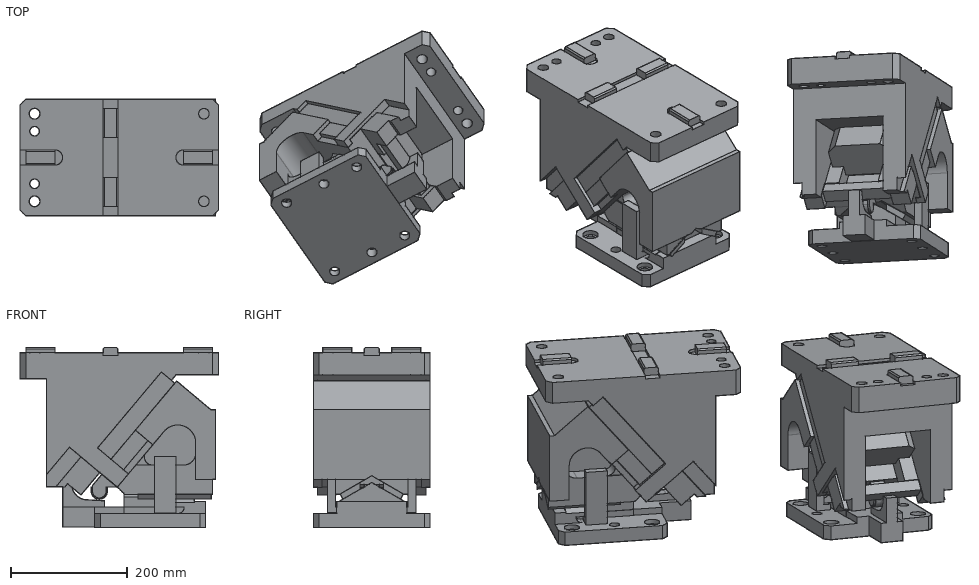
import cadquery as cq
import math


INCLINE = math.radians(50)
BED_X = -22.1
BED_Z = 136.6
BED_THICKNESS = 30
RAIL_V = 58
UNDERCUT_V = 69


def incline(u, v):
    """Point (X, Z) at distances u and v in the bed frame."""
    x = BED_X + u * math.cos(INCLINE) + v * math.sin(INCLINE)
    z = BED_Z + u * math.sin(INCLINE) - v * math.cos(INCLINE)
    return (x, z)


def incline_at_z(z, v):
    """Point at height z on the line of constant v."""
    u = (z - BED_Z + v * math.cos(INCLINE)) / math.sin(INCLINE)
    return incline(u, v)


def incline_at_x(x, v):
    """Point at position x on the line of constant v."""
    u = (x - BED_X - v * math.sin(INCLINE)) / math.cos(INCLINE)
    return incline(u, v)


def inclined_box(u_range, v_range):
    """Corner points of a rectangle lying along the incline."""
    (u0, u1), (v0, v1) = u_range, v_range
    return [incline(u0, v0), incline(u1, v0), incline(u1, v1), incline(u0, v1)]


def rectangle(x0, x1, z0, z1):
    return [(x0, z0), (x1, z0), (x1, z1), (x0, z1)]


def centred_prism(points, half_width):
    """Side profile (X, Z) swept over -half_width < Y < half_width."""
    return cq.Workplane("XZ").polyline(points).close().extrude(half_width, both=True)


def side_prisms(points, inner, outer):
    """Side profile swept over inner < |Y| < outer, on both sides."""
    near = cq.Workplane("XZ").workplane(offset=inner).polyline(points).close().extrude(outer - inner)
    return near.union(near.mirror("XZ"))


def cross_section_prism(points, x0, x1):
    """Cross-section (Y, Z) swept from x0 to x1."""
    return cq.Workplane("YZ").workplane(offset=x0).polyline(points).close().extrude(x1 - x0)


def plate(x0, x1, z0, z1):
    """Full-width plate with chamfered vertical corners."""
    blank = centred_prism(rectangle(x0, x1, z0, z1), HALF_WIDTH)
    return blank.edges("|Z").chamfer(CORNER_CHAMFER)


HALF_WIDTH = 100
CORNER_CHAMFER = 10
PASS = 5

HOLDER_TOP = 300
HOLDER_X = (-155, 185)
PLATE_LEFT_BOTTOM = 255
PLATE_RIGHT_BOTTOM = 262
LEG_LEFT = -110
LEG_BOTTOM = 70
WINDOW_HALF = 60
WINDOW_TOP = 200
SHOULDER_V = 22.5

BED_U = (-80, 170)
BED_HALF = 93
BED_CENTRE_STEP_U = -49
BED_CENTRE_END_U = -68
BED_CENTRE_V = (2, 25)
BED_CENTRE_HALF = 61

POCKET_HALF = 35
POCKET_TOP_U = -6
POCKET_LIP = 19
POCKET_UNDERCUT_U = 6

FOOT_U = (-30, 0)
FOOT_INNER = 94
LIP_INNER = 85
GROOVE_V = (-37.7, -12)

NOSE_HALF = 54.5
NOSE_HEIGHT = 46
NOSE_FLAT_HALF = 40
NOSE_CHAMFER_HEIGHT = 13
NOSE_LENGTH = 96

KEY_DEPTH = 5
KEY_HEIGHT = 9
KEY_LENGTH = 50
KEY_CHAMFER = 2.5
CROSS_KEY_WIDTH = 25
CROSS_KEY_Y = 59
END_KEY_WIDTH = 26
END_KEY_X = (-120, 150)
END_KEYWAY_CENTRES = (-95, 125)

MOUNT_HOLE = 18
MOUNT_HOLE_X = (-130, 160)
MOUNT_HOLE_Y = 75
DOWEL_HOLE = 16
DOWEL_HOLE_Y = 45


def holder_block():
    """Top plate and the two legs, down to the root of the bed."""
    top = plate(*HOLDER_X, PLATE_LEFT_BOTTOM, HOLDER_TOP)
    thin_end = rectangle(LEG_LEFT, HOLDER_X[1] + PASS, PLATE_LEFT_BOTTOM - PASS, PLATE_RIGHT_BOTTOM)
    shoulder = incline_at_z(PLATE_RIGHT_BOTTOM, SHOULDER_V)
    wedge = [
        (LEG_LEFT, HOLDER_TOP),
        (shoulder[0], HOLDER_TOP),
        shoulder,
        incline(BED_U[1], SHOULDER_V),
        incline(BED_U[1], 0),
        incline_at_z(LEG_BOTTOM, 0),
        (LEG_LEFT, LEG_BOTTOM),
    ]
    window = [
        (LEG_LEFT - PASS, WINDOW_TOP),
        incline_at_z(WINDOW_TOP, 0),
        incline_at_z(LEG_BOTTOM - PASS, 0),
        (LEG_LEFT - PASS, LEG_BOTTOM - PASS),
    ]
    block = top.cut(centred_prism(thin_end, HALF_WIDTH + PASS))
    block = block.union(centred_prism(wedge, HALF_WIDTH))
    bed_space = inclined_box((0, BED_U[1]), (0, BED_THICKNESS))
    block = block.cut(centred_prism(bed_space, HALF_WIDTH + PASS))
    return block.cut(centred_prism(window, WINDOW_HALF))


def leg_grooves():
    """Grooves and thinned strips on the outer leg faces below the gibs."""
    low_end = 2 * BED_U[0]
    grooves = side_prisms(inclined_box((low_end, FOOT_U[0]), GROOVE_V), LIP_INNER, HALF_WIDTH + PASS)
    strips = side_prisms(inclined_box((low_end, FOOT_U[0]), (GROOVE_V[1], PASS)),
                         BED_HALF, HALF_WIDTH + PASS)
    return grooves.union(strips)


def bed():
    """Inclined slab between the legs, with a shortened middle and a stepped pocket."""
    slab = centred_prism(inclined_box(BED_U, (0, BED_THICKNESS)), BED_HALF)
    middle = inclined_box((BED_U[0] - PASS, BED_CENTRE_STEP_U), (-PASS, BED_THICKNESS + PASS))
    bar = inclined_box((BED_CENTRE_END_U, BED_CENTRE_STEP_U), BED_CENTRE_V)
    pocket = inclined_box((BED_CENTRE_STEP_U, POCKET_TOP_U), (0, BED_THICKNESS))
    undercut = inclined_box((POCKET_TOP_U, POCKET_UNDERCUT_U), (POCKET_LIP, BED_THICKNESS))
    slab = slab.cut(centred_prism(middle, BED_CENTRE_HALF)).union(centred_prism(bar, BED_CENTRE_HALF))
    return slab.cut(centred_prism(pocket, POCKET_HALF)).cut(centred_prism(undercut, POCKET_HALF))


def nose():
    """Block with bevelled corners standing on the bed under the window ceiling."""
    outline = [
        (-NOSE_HALF, 0),
        (NOSE_HALF, 0),
        (NOSE_HALF, NOSE_HEIGHT - NOSE_CHAMFER_HEIGHT),
        (NOSE_FLAT_HALF, NOSE_HEIGHT),
        (-NOSE_FLAT_HALF, NOSE_HEIGHT),
        (-NOSE_HALF, NOSE_HEIGHT - NOSE_CHAMFER_HEIGHT),
    ]
    foot_x, foot_z = incline(POCKET_TOP_U, 0)
    up_incline = (math.cos(INCLINE), 0, math.sin(INCLINE))
    section = cq.Plane(origin=(foot_x, 0, foot_z), xDir=(0, 1, 0), normal=up_incline)
    return cq.Workplane(section).polyline(outline).close().extrude(NOSE_LENGTH)


def gibs():
    """Feet over the bed sides, with lips hooking under the slide rails."""
    feet = side_prisms(inclined_box(FOOT_U, (GROOVE_V[0], UNDERCUT_V)), FOOT_INNER, HALF_WIDTH)
    lips = side_prisms(inclined_box(FOOT_U, (RAIL_V, UNDERCUT_V)), LIP_INNER, HALF_WIDTH)
    return feet.union(lips)


def key(x, y, x_size, y_size, bevelled):
    """Key standing proud of the plate, bevelled along its long top edges."""
    height = KEY_DEPTH + KEY_HEIGHT
    bottom = HOLDER_TOP - KEY_DEPTH
    bar = cq.Workplane("XY", origin=(x, y, bottom)).rect(x_size, y_size).extrude(height)
    return bar.faces(">Z").edges(bevelled).chamfer(KEY_CHAMFER)


def keyways():
    """Cross keyway over the whole width and a round-ended keyway at each end."""
    floor = cq.Workplane("XY", origin=(0, 0, HOLDER_TOP - KEY_DEPTH))
    cuts = floor.rect(CROSS_KEY_WIDTH, 2 * (HALF_WIDTH + PASS)).extrude(KEY_DEPTH)
    for centre, end in zip(END_KEYWAY_CENTRES, HOLDER_X):
        middle = (centre + end) / 2
        slot = floor.center(middle, 0).rect(abs(end - centre), END_KEY_WIDTH).extrude(KEY_DEPTH)
        round_end = floor.center(centre, 0).circle(END_KEY_WIDTH / 2).extrude(KEY_DEPTH)
        cuts = cuts.union(slot).union(round_end)
    return cuts


def holder_holes():
    """Mounting holes at the corners and two dowel holes at the left end."""
    mounts = [(x, side * MOUNT_HOLE_Y) for x in MOUNT_HOLE_X for side in (-1, 1)]
    dowels = [(MOUNT_HOLE_X[0], side * DOWEL_HOLE_Y) for side in (-1, 1)]
    depth = HOLDER_TOP - PLATE_LEFT_BOTTOM
    floor = cq.Workplane("XY", origin=(0, 0, PLATE_LEFT_BOTTOM))
    mount_holes = floor.pushPoints(mounts).circle(MOUNT_HOLE / 2).extrude(depth)
    return mount_holes.union(floor.pushPoints(dowels).circle(DOWEL_HOLE / 2).extrude(depth))


def make_holder():
    body = holder_block().cut(leg_grooves()).cut(keyways()).cut(holder_holes())
    body = body.union(bed()).union(nose()).union(gibs())
    for side in (-1, 1):
        body = body.union(key(0, side * CROSS_KEY_Y, CROSS_KEY_WIDTH, KEY_LENGTH, "|Y"))
    for x in END_KEY_X:
        body = body.union(key(x, 0, KEY_LENGTH, END_KEY_WIDTH, "|X"))
    return body


ROOF_ANGLE = math.radians(30)
ROOF_APEX = 77.5
PAD_THICKNESS = 10
CHANNEL_APEX = ROOF_APEX + PAD_THICKNESS / math.cos(ROOF_ANGLE)


def under_roof(y, apex):
    """Height of a roof surface with the given apex at distance y from the middle."""
    return apex - y * math.tan(ROOF_ANGLE)


SLIDE_HALF = 60
SLIDE_LEFT_U = -29.5
FLANGE_START_U = 65
FLANGE_TOP_U = 175
FLANGE_TOP_Z = 202.4
FLANGE_RIGHT = 180
FLANGE_BOTTOM = 83
LEG_INNER_X = 146
ARCH_RADIUS = 30.7

BLOCK_HALF = 62
BLOCK_RIGHT = 175
BLOCK_BOTTOM = 57.3
BLOCK_TOP = 107.3
BLOCK_CHAMFER = 12.2

RECESS_LEFT = 58
RECESS_LEFT_RADIUS = 14
RECESS_RIGHT_RADIUS = 21
RECESS_DEPTH = 30

PAD_X = (47, 173)
PAD_INNER = 20
PAD_OUTER = 54.4

HOOK_X = (75, 112)
HOOK_OUTER = 76
HOOK_FOOT_INNER = 50.5
HOOK_Z = (25.5, 122)

ARM_V = 34.5
ARM_HALF = 13
ARM_BOTTOM = 69.5
FINGER_X = -19.2
FINGER_Z = 62.7
FINGER_RADIUS = 11.7
ROLLER_RADIUS = 14
ROLLER_HALF = 10

SLOPE_START = incline(FLANGE_TOP_U, BED_THICKNESS)
SLOPE_LENGTH = (SLOPE_START[1] - FLANGE_TOP_Z) / math.cos(INCLINE)
SLOPE_END = incline(FLANGE_TOP_U, BED_THICKNESS + SLOPE_LENGTH)
ARCH_X = LEG_INNER_X - ARCH_RADIUS
ARCH_TOUCH = incline_at_x(ARCH_X - ARCH_RADIUS * math.sin(INCLINE), UNDERCUT_V)
ARCH_Z = ARCH_TOUCH[1] - ARCH_RADIUS * math.cos(INCLINE)


def flanges():
    """Full-width head of the slide with its arched undercut and the leg at its right end."""
    return (
        cq.Workplane("XZ")
        .polyline([
            ARCH_TOUCH,
            incline(FLANGE_START_U, UNDERCUT_V),
            incline(FLANGE_START_U, BED_THICKNESS),
            SLOPE_START,
            SLOPE_END,
            (FLANGE_RIGHT, FLANGE_TOP_Z),
            (FLANGE_RIGHT, FLANGE_BOTTOM),
            (LEG_INNER_X, FLANGE_BOTTOM),
            (LEG_INNER_X, ARCH_Z),
        ])
        .threePointArc((ARCH_X, ARCH_Z + ARCH_RADIUS), ARCH_TOUCH)
        .close()
        .extrude(HALF_WIDTH, both=True)
    )


def slide_core():
    """Middle of the slide, from the sliding face down to the guide block."""
    block_corner = incline(SLIDE_LEFT_U, UNDERCUT_V)
    core = [
        incline(SLIDE_LEFT_U, BED_THICKNESS),
        SLOPE_START,
        SLOPE_END,
        (BLOCK_RIGHT, FLANGE_TOP_Z),
        (BLOCK_RIGHT, BLOCK_BOTTOM),
        (block_corner[0] + BLOCK_CHAMFER, BLOCK_BOTTOM),
        block_corner,
    ]
    block = (
        cq.Workplane("XZ")
        .moveTo(*block_corner)
        .lineTo(*incline_at_z(BLOCK_TOP, UNDERCUT_V))
        .lineTo(LEG_INNER_X - RECESS_RIGHT_RADIUS, BLOCK_TOP)
        .radiusArc((LEG_INNER_X, BLOCK_TOP + RECESS_RIGHT_RADIUS), -RECESS_RIGHT_RADIUS)
        .lineTo(BLOCK_RIGHT, BLOCK_TOP + RECESS_RIGHT_RADIUS)
        .lineTo(BLOCK_RIGHT, BLOCK_BOTTOM)
        .lineTo(block_corner[0] + BLOCK_CHAMFER, BLOCK_BOTTOM)
        .close()
        .extrude(BLOCK_HALF, both=True)
    )
    return centred_prism(core, SLIDE_HALF).union(block)


def rails():
    """Side rails under the bed and the narrower strips beneath them."""
    span = (SLIDE_LEFT_U, FLANGE_START_U)
    rail = centred_prism(inclined_box(span, (BED_THICKNESS, RAIL_V)), BED_HALF)
    return rail.union(centred_prism(inclined_box(span, (RAIL_V, UNDERCUT_V)), LIP_INNER))


def side_recesses():
    """Blind recesses in both sides, with a flat floor and round corners under the arch."""
    recess = (
        cq.Workplane("XZ")
        .workplane(offset=SLIDE_HALF - RECESS_DEPTH)
        .moveTo(*ARCH_TOUCH)
        .lineTo(*incline_at_x(RECESS_LEFT, UNDERCUT_V))
        .lineTo(RECESS_LEFT, BLOCK_TOP + RECESS_LEFT_RADIUS)
        .radiusArc((RECESS_LEFT + RECESS_LEFT_RADIUS, BLOCK_TOP), -RECESS_LEFT_RADIUS)
        .lineTo(LEG_INNER_X - RECESS_RIGHT_RADIUS, BLOCK_TOP)
        .radiusArc((LEG_INNER_X, BLOCK_TOP + RECESS_RIGHT_RADIUS), -RECESS_RIGHT_RADIUS)
        .lineTo(LEG_INNER_X, ARCH_Z)
        .threePointArc((ARCH_X, ARCH_Z + ARCH_RADIUS), ARCH_TOUCH)
        .close()
        .extrude(RECESS_DEPTH)
    )
    return recess.union(recess.mirror("XZ"))


def guide_channel():
    """Roof-shaped channel along the underside of the slide."""
    half = PAD_OUTER + PASS
    eave = under_roof(half, CHANNEL_APEX)
    left = incline(SLIDE_LEFT_U, UNDERCUT_V)[0] - PASS
    return cross_section_prism([(half, eave), (0, CHANNEL_APEX), (-half, eave)], left, BLOCK_RIGHT + PASS)


def guide_pads():
    """Sliding pads lining the channel and resting on the guide roof."""
    across = PAD_THICKNESS * math.sin(ROOF_ANGLE)
    down = PAD_THICKNESS * math.cos(ROOF_ANGLE)
    outer_z = under_roof(PAD_OUTER, CHANNEL_APEX)
    outline = [
        (PAD_INNER, under_roof(PAD_INNER, ROOF_APEX)),
        (PAD_OUTER - across, outer_z - down),
        (PAD_OUTER, outer_z),
        (PAD_INNER, under_roof(PAD_INNER, CHANNEL_APEX)),
    ]
    pad = cross_section_prism(outline, *PAD_X)
    return pad.union(pad.mirror("XZ"))


def retaining_hooks():
    """L-shaped hooks on both sides, reaching under the base guide."""
    upright = side_prisms(rectangle(*HOOK_X, *HOOK_Z), BLOCK_HALF, HOOK_OUTER)
    return upright.union(side_prisms(rectangle(*HOOK_X, HOOK_Z[0], OVERHANG_Z), HOOK_FOOT_INNER, HOOK_OUTER))


def return_finger():
    """Arm at the left end with a rounded finger that follows the base post."""
    arm_end = incline(SLIDE_LEFT_U, ARM_V)
    left = FINGER_X - FINGER_RADIUS
    arm = [
        arm_end,
        incline_at_x(left, ARM_V),
        (left, FINGER_Z),
        (FINGER_X + FINGER_RADIUS, FINGER_Z),
        (FINGER_X + FINGER_RADIUS, ARM_BOTTOM),
        incline(SLIDE_LEFT_U, UNDERCUT_V),
    ]
    centre = cq.Workplane("XZ", origin=(FINGER_X, 0, FINGER_Z))
    tip = centre.circle(FINGER_RADIUS).extrude(ARM_HALF, both=True)
    roller = centre.circle(ROLLER_RADIUS).extrude(ROLLER_HALF, both=True)
    shank = rectangle(FINGER_X - ROLLER_RADIUS, FINGER_X + ROLLER_RADIUS, FINGER_Z, ARM_BOTTOM)
    roller = roller.union(centred_prism(shank, ROLLER_HALF))
    return centred_prism(arm, ARM_HALF).union(tip).union(roller)


def make_slide():
    body = slide_core().union(flanges()).union(rails())
    body = body.cut(side_recesses()).cut(guide_channel())
    return body.union(guide_pads()).union(retaining_hooks()).union(return_finger())


BASE_X = (-27, 163)
BASE_THICKNESS = 24.5
OVERHANG_Z = 35.5
WAIST_HALF = 43
RIDGE_HALF = 42
GUIDE_LEFT = 23
GUIDE_NARROW_HALF = 43.5
GUIDE_WIDE_HALF = 60
GUIDE_WIDE_LEFT = 85
HOOK_SLOT_END = 126
HOOK_SLOT_RADIUS = 10
ROOF_END_X = 143.5
STEP_Z = 45.2

TAIL_LEFT = -82
TAIL_HALF = 20
TAIL_BOTTOM = 1
POST_HALF = 10
POST_TOP = 79
POST_RIGHT = -10
POST_RIGHT_TOP = 46.3
POST_CURVE_X = -40
POST_CURVE_Z = 74
POST_CURVE_RADIUS = 26

BASE_HOLE_Y = 80
BASE_BOLT_X = (-2.5, 137.5)
BASE_DOWEL_X = 63
BASE_HOLE = 17
COUNTERBORE = 26
COUNTERBORE_DEPTH = 8


def guide(half, x0, x1):
    """Length of the guide with the roof on top."""
    eave = under_roof(half, ROOF_APEX)
    outline = [(-half, BASE_THICKNESS), (half, BASE_THICKNESS), (half, eave), (0, ROOF_APEX), (-half, eave)]
    return cross_section_prism(outline, x0, x1)


def hook_slots():
    """Side slots for the hook feet, closed by a rounded end."""
    slot = (
        cq.Workplane("XZ")
        .workplane(offset=WAIST_HALF)
        .moveTo(GUIDE_LEFT, BASE_THICKNESS)
        .lineTo(HOOK_SLOT_END - HOOK_SLOT_RADIUS, BASE_THICKNESS)
        .radiusArc((HOOK_SLOT_END, BASE_THICKNESS + HOOK_SLOT_RADIUS), -HOOK_SLOT_RADIUS)
        .lineTo(HOOK_SLOT_END, OVERHANG_Z)
        .lineTo(GUIDE_LEFT, OVERHANG_Z)
        .close()
        .extrude(GUIDE_WIDE_HALF - WAIST_HALF)
    )
    return slot.union(slot.mirror("XZ"))


def tail():
    """Foot and post at the left end; the post's hollow curve guides the return finger."""
    foot = centred_prism(rectangle(TAIL_LEFT, GUIDE_LEFT, TAIL_BOTTOM, OVERHANG_Z), TAIL_HALF)
    curve_left = POST_CURVE_X - POST_CURVE_RADIUS
    diagonal = POST_CURVE_RADIUS * math.sqrt(0.5)
    post = (
        cq.Workplane("XZ")
        .moveTo(TAIL_LEFT, OVERHANG_Z)
        .lineTo(TAIL_LEFT, POST_TOP)
        .lineTo(curve_left, POST_TOP)
        .lineTo(curve_left, POST_CURVE_Z)
        .threePointArc((POST_CURVE_X - diagonal, POST_CURVE_Z - diagonal),
                       (POST_CURVE_X, POST_CURVE_Z - POST_CURVE_RADIUS))
        .lineTo(POST_RIGHT, POST_RIGHT_TOP)
        .lineTo(POST_RIGHT, OVERHANG_Z)
        .close()
        .extrude(POST_HALF, both=True)
    )
    return foot.union(post)


def base_plate():
    """Plate with counterbored bolt holes and dowel holes along both sides."""
    bolts = [(x, side * BASE_HOLE_Y) for x in BASE_BOLT_X for side in (-1, 1)]
    dowels = [(BASE_DOWEL_X, side * BASE_HOLE_Y) for side in (-1, 1)]
    top = cq.Workplane("XY", origin=(0, 0, BASE_THICKNESS))
    drilled = top.pushPoints(bolts + dowels).circle(BASE_HOLE / 2).extrude(-BASE_THICKNESS)
    counterbores = top.pushPoints(bolts).circle(COUNTERBORE / 2).extrude(-COUNTERBORE_DEPTH)
    return plate(*BASE_X, 0, BASE_THICKNESS).cut(drilled).cut(counterbores)


def make_base():
    guides = guide(GUIDE_NARROW_HALF, GUIDE_LEFT, GUIDE_WIDE_LEFT)
    guides = guides.union(guide(GUIDE_WIDE_HALF, GUIDE_WIDE_LEFT, ROOF_END_X))
    step = rectangle(ROOF_END_X, BASE_X[1], BASE_THICKNESS, STEP_Z)
    guides = guides.union(centred_prism(step, GUIDE_WIDE_HALF)).cut(hook_slots())
    ridge = rectangle(BASE_X[0], GUIDE_LEFT, BASE_THICKNESS, OVERHANG_Z)
    guides = guides.union(centred_prism(ridge, RIDGE_HALF))
    return base_plate().union(guides).union(tail())


holder = make_holder()
slide = make_slide()
base = make_base()

result = cq.Compound.makeCompound([holder.val(), slide.val(), base.val()])